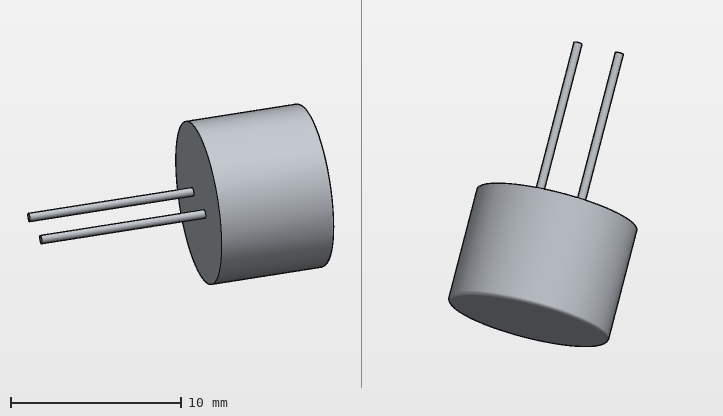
import cadquery as cq

overall_length = 16.9
lead_length = 10.0
lead_diameter = 0.5
lead_pitch = 2.5
body_diameter = 9.7
body_length = overall_length - lead_length
rim_fillet = 0.2


def make_body():
    """Cylinder from the lead face at Y = 0 to the rounded far rim."""
    body = cq.Workplane("XZ").circle(body_diameter / 2).extrude(-body_length)
    return body.faces(">Y").edges().fillet(rim_fillet)


def add_leads(body):
    """Two wires along -Y, spaced evenly about the can axis."""
    leads = (
        cq.Workplane("XZ")
        .pushPoints([(-lead_pitch / 2, 0), (lead_pitch / 2, 0)])
        .circle(lead_diameter / 2)
        .extrude(lead_length)
    )
    return body.union(leads)


result = add_leads(make_body())